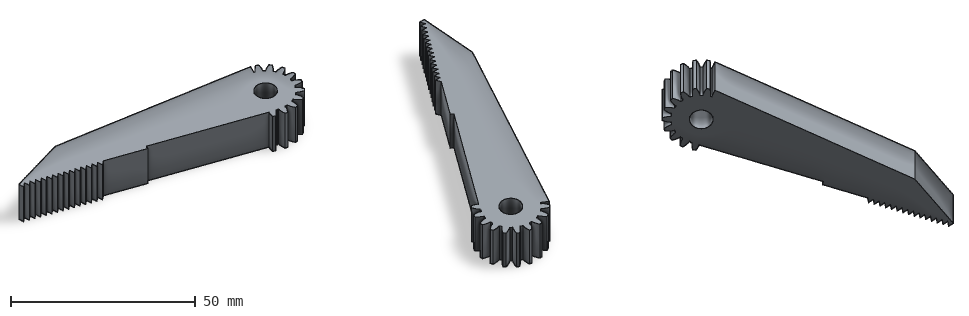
import cadquery as cq
import math

INCH = 25.4
THICKNESS = 0.5 * INCH
PIVOT_DIAMETER = 0.25 * INCH

GEAR_TEETH = 18
DIAMETRAL_PITCH = 24
MODULE = INCH / DIAMETRAL_PITCH
PITCH_RADIUS = GEAR_TEETH * MODULE / 2
TIP_RADIUS = PITCH_RADIUS + MODULE
DEDENDUM = 1.25 * MODULE
ROOT_RADIUS = PITCH_RADIUS - DEDENDUM
TOOTH_ANGLE = 360 / GEAR_TEETH
FIRST_TOOTH = -10
SECTOR_TEETH = 10
TIP_WIDTH = 0.9
PITCH_WIDTH = math.pi * MODULE / 2
ROOT_WIDTH = 2.1

ARM_END_Y = -3.0 * INCH
BACK_X = -10.59
KNEE_X = -1.05
KNEE_Y = -61.2
FRONT_X = 8.38
GRIP_X = 9.40
GRIP_START_Y = -38.4

SERRATION_COUNT = 15
SERRATION_PITCH = 0.065 * INCH
SERRATION_HEIGHT = SERRATION_PITCH * math.sqrt(3) / 2


def make_arm():
    """Tapered arm with the serrated front edge, up to the pivot axis."""
    outline = (
        cq.Workplane("XY")
        .moveTo(FRONT_X, 0)
        .lineTo(BACK_X, 0)
        .lineTo(KNEE_X, KNEE_Y)
        .lineTo(GRIP_X, ARM_END_Y)
    )
    for index in range(SERRATION_COUNT):
        valley_y = ARM_END_Y + index * SERRATION_PITCH
        outline = outline.lineTo(GRIP_X + SERRATION_HEIGHT, valley_y + SERRATION_PITCH / 2)
        outline = outline.lineTo(GRIP_X, valley_y + SERRATION_PITCH)
    outline = outline.lineTo(GRIP_X, GRIP_START_Y).lineTo(FRONT_X, GRIP_START_Y)
    return outline.close().extrude(THICKNESS)


def radial_position(radius, width):
    """Distance along the tooth's centre line of a point on a circle, half a width off it."""
    return math.sqrt(radius**2 - (width / 2) ** 2)


def make_gear_tooth(direction):
    """One tooth with curved flanks, pointing in the given direction in degrees."""
    tip = (radial_position(TIP_RADIUS, TIP_WIDTH), TIP_WIDTH / 2)
    middle = (radial_position(PITCH_RADIUS, PITCH_WIDTH), PITCH_WIDTH / 2)
    root = (radial_position(ROOT_RADIUS, ROOT_WIDTH), ROOT_WIDTH / 2)
    tooth = (
        cq.Workplane("XY")
        .lineTo(root[0], -root[1])
        .threePointArc((middle[0], -middle[1]), (tip[0], -tip[1]))
        .threePointArc((TIP_RADIUS, 0), tip)
        .threePointArc(middle, root)
        .close()
        .extrude(THICKNESS)
    )
    return tooth.rotate((0, 0, 0), (0, 0, 1), direction)


def make_gear_sector():
    """Root disc with the teeth around its +Y side."""
    sector = cq.Workplane("XY").circle(ROOT_RADIUS).extrude(THICKNESS)
    for index in range(SECTOR_TEETH):
        sector = sector.union(make_gear_tooth(FIRST_TOOTH + index * TOOTH_ANGLE))
    return sector


pivot_hole = cq.Workplane("XY").circle(PIVOT_DIAMETER / 2).extrude(THICKNESS)
result = make_arm().union(make_gear_sector()).cut(pivot_hole)